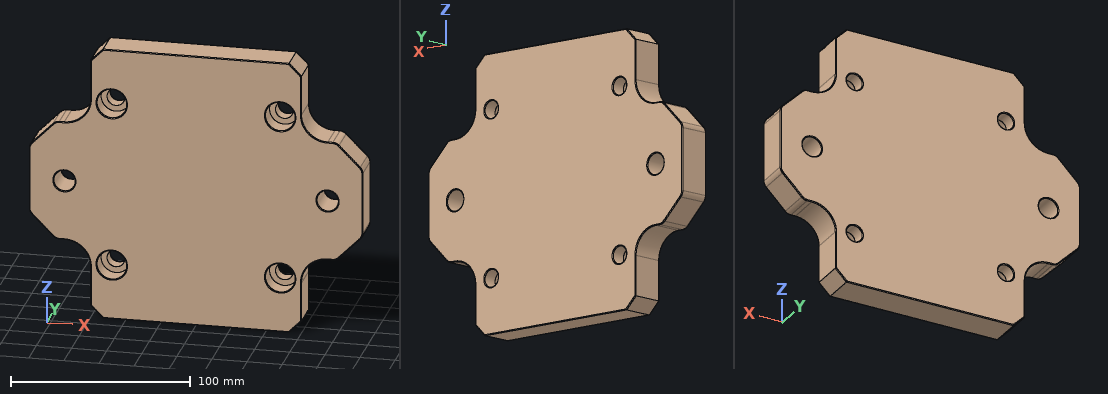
import cadquery as cq

length = 190.0
height = 160.0
thickness = 20.0
edge_break = 0.5

body_width = 120.0
body_corner_chamfer = 7.0

wing_height = 70.0
wing_corner_chamfer = 15.0
wing_corner_radius = 5.0
inner_corner_radius = 15.0

mount_spacing = 96.0
mount_diameter = 10.0
counterbore_diameter = 17.0
counterbore_depth = 11.0

wing_hole_spacing = 150.0
wing_hole_diameter = 12.2


def wing_bar():
    """Bar spanning the full length, with slanted and rounded corners."""
    return (
        cq.Workplane("XY")
        .box(length, thickness, wing_height)
        .edges("|Y")
        .chamfer(wing_corner_chamfer)
        .edges("|Y")
        .fillet(wing_corner_radius)
    )


def central_body():
    """Tall block with its four corners cut at 45 degrees."""
    return (
        cq.Workplane("XY")
        .box(body_width, thickness, height)
        .edges("|Y")
        .chamfer(body_corner_chamfer)
    )


def blend_inner_corners(plate):
    """Fillet the four edges where the wings meet the body."""
    margin = 0.2
    inner_corner_box = cq.selectors.BoxSelector(
        (-body_width / 2 - margin, -thickness / 2, -wing_height / 2 - margin),
        (body_width / 2 + margin, thickness / 2, wing_height / 2 + margin),
    )
    return plate.edges("|Y").edges(inner_corner_box).fillet(inner_corner_radius)


def drill_mounting_holes(plate):
    """Four through holes, counterbored from the front face."""
    return (
        plate.faces("<Y")
        .workplane(origin=(0, 0, 0))
        .rarray(mount_spacing, mount_spacing, 2, 2)
        .cboreHole(mount_diameter, counterbore_diameter, counterbore_depth)
    )


def drill_wing_holes(plate):
    """One through hole in each wing, level with the plate's middle."""
    return (
        plate.faces("<Y")
        .workplane(origin=(0, 0, 0))
        .pushPoints([(-wing_hole_spacing / 2, 0), (wing_hole_spacing / 2, 0)])
        .hole(wing_hole_diameter)
    )


def break_face_edges(plate):
    """Chamfer the outline and the hole rims on the front and back faces."""
    return plate.faces("<Y or >Y").edges().chamfer(edge_break)


result = central_body().union(wing_bar())
result = blend_inner_corners(result)
result = drill_mounting_holes(result)
result = drill_wing_holes(result)
result = break_face_edges(result)